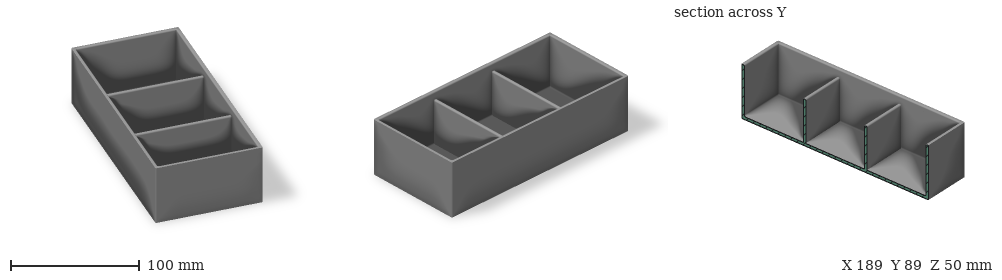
import cadquery as cq

length = 189.0
width = 89.0
height = 50.0
corner_radius = 1.1

wall = 3.0
floor = 3.0
floor_radius = 1.1
rim_radius = 1.1

compartments = 3
divider_thickness = 3.0
divider_drop = 7.0
divider_radius = 1.23

cavity_length = length - 2 * wall
cavity_width = width - 2 * wall
divider_height = height - floor - divider_drop
compartment_length = (cavity_length - (compartments - 1) * divider_thickness) / compartments
divider_pitch = compartment_length + divider_thickness


def make_cavity_block():
    """Sharp-cornered block filling the inside of the box above the floor."""
    block = cq.Workplane("XY").workplane(offset=floor).rect(cavity_length, cavity_width)
    return block.extrude(height - floor)


def make_tray():
    """Open box with a rounded floor edge, sharp wall corners and a rim that is round at its corners."""
    outer = cq.Workplane("XY").rect(length, width).extrude(height)
    outer = outer.edges("|Z").fillet(corner_radius)

    opening = make_cavity_block().edges("|Z").fillet(rim_radius)
    opening = opening.faces("<Z").edges().fillet(floor_radius)
    tray = outer.cut(opening)
    inside_rim = cq.selectors.BoxSelector(
        (-cavity_length / 2 - wall / 2, -cavity_width / 2 - wall / 2, height - rim_radius),
        (cavity_length / 2 + wall / 2, cavity_width / 2 + wall / 2, height + rim_radius),
        boundingbox=True,
    )
    tray = tray.edges(inside_rim).fillet(rim_radius)

    cavity = make_cavity_block().faces("<Z").edges().fillet(floor_radius)
    return tray.cut(cavity)


def make_divider(x):
    """Cross wall with rounded top edges, running into both long walls."""
    divider = (
        cq.Workplane("XY")
        .workplane(offset=floor)
        .center(x, 0)
        .rect(divider_thickness, cavity_width + wall)
        .extrude(divider_height)
    )
    return divider.faces(">Z").edges("|Y").fillet(divider_radius)


result = make_tray()
for index in range(compartments - 1):
    divider_x = (index - (compartments - 2) / 2) * divider_pitch
    result = result.union(make_divider(divider_x))